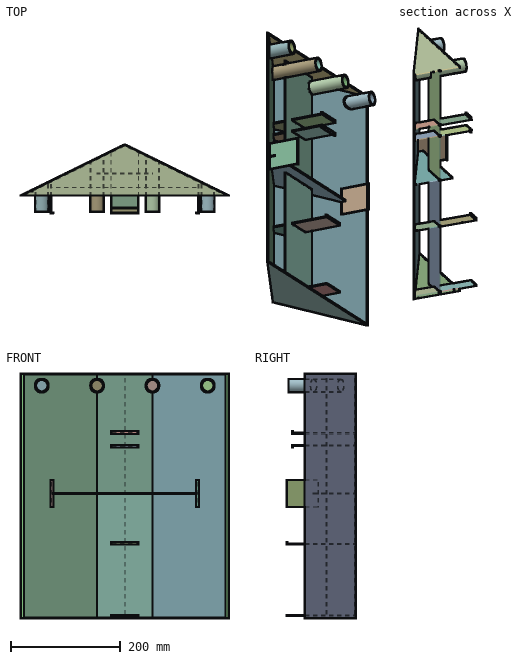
import cadquery as cq
import math

width = 380.0
height = 447.0
wall = 2.5
end_wall = 2.0
apex_depth = 93.35

panel_width = 101.0
panel_thickness = 2.0
panel_front = 39.0

divider_thickness = 2.0
divider_middle = 228.0
divider_front = 15.0

tongue_width = 50.0
tongue_thickness = 2.0
lip_rise = 3.0
lip_depth = 2.0
lip_rounding = 1.0
short_reach = 23.5
long_reach = 33.0
side_tongue_x = 134.5
upper_tongue_bottom = 337.0
second_tongue_top = 317.0
third_tongue_bottom = 135.0
lowest_tongue_bottom = 4.5

tube_radius = 12.5
tube_bore_radius = 10.75
tube_pitch = 101.0
tube_count = 4
tube_height = 425.0
tube_reach = 30.0

wall_angle = math.atan2(apex_depth, width / 2)
inner_half_width = width / 2 - wall / math.sin(wall_angle)
inner_apex = apex_depth - wall / math.cos(wall_angle)


def box(x_range, y_range, z_range):
    """Box between two limits along each axis."""
    size = [high - low for low, high in (x_range, y_range, z_range)]
    corner = cq.Vector(x_range[0], y_range[0], z_range[0])
    return cq.Workplane(cq.Solid.makeBox(*size, pnt=corner))


def wedge(half_width, depth, bottom, top):
    """Triangular prism with its base on the XZ plane and its ridge at +Y."""
    corners = [(-half_width, 0), (half_width, 0), (0, depth)]
    return cq.Workplane("XY", origin=(0, 0, bottom)).polyline(corners).close().extrude(top - bottom)


def make_shell():
    cavity = wedge(inner_half_width, inner_apex, end_wall, height - end_wall)
    return wedge(width / 2, apex_depth, 0, height).cut(cavity)


def make_panel():
    half = panel_width / 2
    return box((-half, half), (panel_front, panel_front + panel_thickness), (end_wall, height - end_wall))


def make_divider():
    bottom = divider_middle - divider_thickness / 2
    return box(
        (-side_tongue_x, side_tongue_x),
        (divider_front, apex_depth),
        (bottom, bottom + divider_thickness),
    )


def make_level_tongue(bottom, reach):
    """Flat level tongue on the center line."""
    half = tongue_width / 2
    return box((-half, half), (-reach, apex_depth), (bottom, bottom + tongue_thickness))


def make_hooked_tongue(bottom, reach):
    """Level tongue with a lip turned up along its front edge, its front corner rounded."""
    half = tongue_width / 2
    lip_top = bottom + tongue_thickness + lip_rise
    lip = box((-half, half), (-reach, -reach + lip_depth), (bottom, lip_top))
    lip = lip.edges("<Y and >Z").fillet(lip_rounding)
    return make_level_tongue(bottom, reach).union(lip)


def make_side_tongue():
    """Upright hooked tongue on the -X side, its lip turned towards the middle."""
    centered = make_hooked_tongue(-tongue_thickness / 2, long_reach)
    upright = centered.rotate((0, 0, 0), (0, 1, 0), 90)
    return upright.translate((-side_tongue_x, 0, divider_middle))


def make_cylinder(x, radius):
    plane = cq.Plane(origin=(x, -tube_reach, tube_height), xDir=(-1, 0, 0), normal=(0, 1, 0))
    return cq.Workplane(plane).circle(radius).extrude(tube_reach + apex_depth)


fittings = make_panel().union(make_divider())
fittings = fittings.union(make_hooked_tongue(upper_tongue_bottom, short_reach))
second_tongue = make_hooked_tongue(-second_tongue_top, short_reach).mirror("XY")
fittings = fittings.union(second_tongue)
fittings = fittings.union(make_hooked_tongue(third_tongue_bottom, long_reach))
fittings = fittings.union(make_level_tongue(lowest_tongue_bottom, long_reach))
side_tongue = make_side_tongue()
fittings = fittings.union(side_tongue).union(side_tongue.mirror("YZ"))

tube_positions = [(i - (tube_count - 1) / 2) * tube_pitch for i in range(tube_count)]
for x in tube_positions:
    fittings = fittings.union(make_cylinder(x, tube_radius))
for x in tube_positions:
    fittings = fittings.cut(make_cylinder(x, tube_bore_radius))

in_front = box((-width / 2, width / 2), (-long_reach, 0), (0, height))
room = wedge(inner_half_width, inner_apex, 0, height).union(in_front)
result = make_shell().union(fittings.intersect(room))